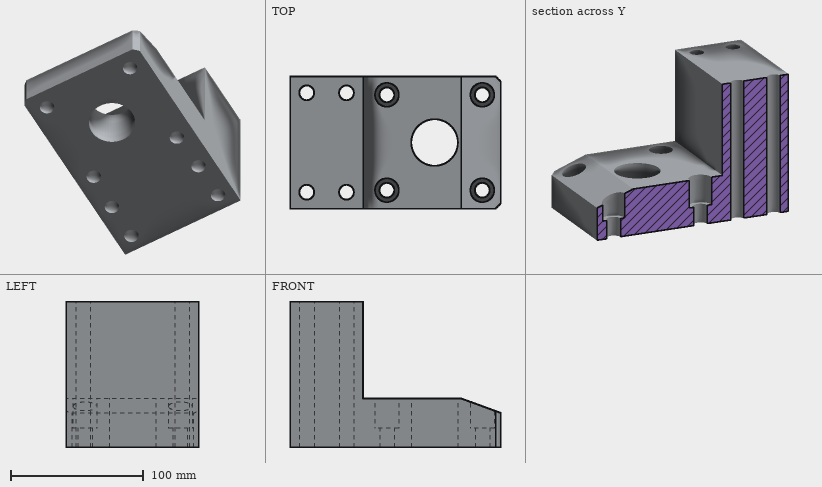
import cadquery as cq
import math

length = 159.0
width = 100.0
height = 110.0

tower_length = 55.0
base_height = 37.0
slope_length = 30.0
slope_angle = 20.0
corner_chamfer = 4.0

bolt_diameter = 11.0
counterbore_diameter = 18.0
counterbore_floor = 15.0
bore_diameter = 35.0

tower_hole_spacing_x = 30.0
tower_hole_spacing_y = 75.0
tower_hole_center_x = tower_length / 2
base_hole_spacing = 72.0
bore_center_x = 109.0

nose_height = base_height - slope_length * math.tan(math.radians(slope_angle))


def make_body():
    """L-shaped block with a sloped nose, centred on Y = 0."""
    profile = [
        (0, 0),
        (length, 0),
        (length, nose_height),
        (length - slope_length, base_height),
        (tower_length, base_height),
        (tower_length, height),
        (0, height),
    ]
    body = cq.Workplane("XZ").polyline(profile).close().extrude(width / 2, both=True)
    return body.edges("|Z and >X").chamfer(corner_chamfer)


def hole_grid(center_x, spacing_x, spacing_y):
    """Centres of a two by two hole pattern placed symmetrically about Y = 0."""
    return [
        (center_x + side_x * spacing_x / 2, side_y * spacing_y / 2)
        for side_x in (-1, 1)
        for side_y in (-1, 1)
    ]


def vertical_cylinders(points, diameter, bottom):
    """Cylinders rising from the bottom level to the top of the block."""
    plane = cq.Workplane("XY").workplane(offset=bottom)
    return plane.pushPoints(points).circle(diameter / 2).extrude(height - bottom)


tower_holes = hole_grid(tower_hole_center_x, tower_hole_spacing_x, tower_hole_spacing_y)
base_holes = hole_grid(bore_center_x, base_hole_spacing, base_hole_spacing)

result = make_body()
result = result.cut(vertical_cylinders(tower_holes + base_holes, bolt_diameter, 0))
result = result.cut(vertical_cylinders([(bore_center_x, 0)], bore_diameter, 0))
result = result.cut(vertical_cylinders(base_holes, counterbore_diameter, counterbore_floor))